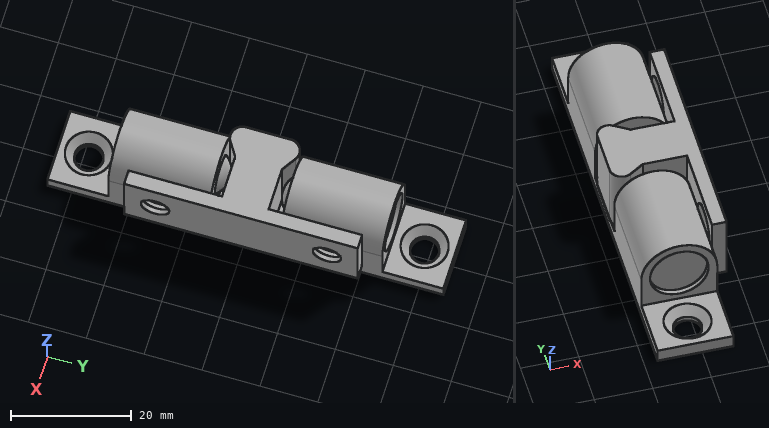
import cadquery as cq
import math

length = 68.4
width = 13.0
base_thickness = 2.45
barrel_radius = width / 2
barrel_axis_z = 8.6
notch_length = 12.45
flange_length = 10.5
barrel_length = (length - notch_length) / 2 - flange_length
recess_diameter = 10.0
recess_depth = 0.95
ball_radius = 4.1
ball_protrusion = 1.7

hole_diameter = 4.85
countersink_diameter = 7.95
countersink_angle = 90.0
hole_end_distance = 5.2

strike_bottom_z = 2.9
strike_height = 12.05
plate_length = 40.35
plate_thickness = 2.5
strike_hole_spacing = 29.7
tongue_width = 8.1
tongue_overhang = 0.2
head_radius = 2.05
head_flat_width = 7.8
head_length = 5.7


def make_barrel(side):
    """Round-topped block at one end, with its end recess and its ball."""
    inner_y = notch_length / 2
    outer_y = inner_y + barrel_length
    block = (
        cq.Workplane("XZ", origin=(0, outer_y, 0))
        .moveTo(-barrel_radius, 0)
        .lineTo(-barrel_radius, barrel_axis_z)
        .threePointArc((0, barrel_axis_z + barrel_radius), (barrel_radius, barrel_axis_z))
        .lineTo(barrel_radius, 0)
        .close()
        .extrude(barrel_length)
    )
    recess = (
        cq.Workplane("XZ", origin=(0, outer_y, barrel_axis_z))
        .circle(recess_diameter / 2)
        .extrude(recess_depth)
    )
    ball_y = inner_y + ball_radius - ball_protrusion
    ball = cq.Workplane("XY").sphere(ball_radius).translate((0, ball_y, barrel_axis_z))
    barrel = block.cut(recess).union(ball)
    return barrel if side > 0 else barrel.mirror("XZ")


def make_housing():
    """Base strip with two barrels and a countersunk hole in each flange."""
    hole_y = length / 2 - hole_end_distance
    housing = (
        cq.Workplane("XY")
        .box(width, length, base_thickness, centered=(True, True, False))
        .faces(">Z").workplane()
        .pushPoints([(0, -hole_y), (0, hole_y)])
        .cskHole(hole_diameter, countersink_diameter, countersink_angle)
    )
    for side in (-1, 1):
        housing = housing.union(make_barrel(side))
    return housing


def make_tongue():
    """Tongue whose head has round corners and flanks sloping to the stem."""
    tip_x = -width / 2 - tongue_overhang
    center_x = tip_x + head_radius
    center_y = head_flat_width / 2
    stem_x = tip_x + head_length
    stem_y = tongue_width / 2
    root_x = width / 2

    reach_x = stem_x - center_x
    reach_y = stem_y - center_y
    tangent_angle = math.atan2(reach_y, reach_x) + math.acos(head_radius / math.hypot(reach_x, reach_y))
    middle_angle = (tangent_angle + math.pi) / 2

    def on_corner(angle):
        return center_x + head_radius * math.cos(angle), center_y + head_radius * math.sin(angle)

    tangent_x, tangent_y = on_corner(tangent_angle)
    middle_x, middle_y = on_corner(middle_angle)
    return (
        cq.Workplane("XY", origin=(0, 0, strike_bottom_z))
        .moveTo(root_x, -stem_y)
        .lineTo(root_x, stem_y)
        .lineTo(stem_x, stem_y)
        .lineTo(tangent_x, tangent_y)
        .threePointArc((middle_x, middle_y), (tip_x, center_y))
        .lineTo(tip_x, -center_y)
        .threePointArc((middle_x, -middle_y), (tangent_x, -tangent_y))
        .lineTo(stem_x, -stem_y)
        .close()
        .extrude(strike_height)
    )


def make_strike():
    """Mounting plate, countersunk on the side facing the barrels, plus tongue."""
    middle_z = strike_bottom_z + strike_height / 2
    plate = (
        cq.Workplane("XY")
        .box(plate_thickness, plate_length, strike_height)
        .faces("<X").workplane()
        .pushPoints([(-strike_hole_spacing / 2, 0), (strike_hole_spacing / 2, 0)])
        .cskHole(hole_diameter, countersink_diameter, countersink_angle)
        .translate((width / 2 + plate_thickness / 2, 0, middle_z))
    )
    return plate.union(make_tongue())


housing = make_housing()
strike = make_strike()

result = cq.Compound.makeCompound([housing.solids().val(), strike.solids().val()])